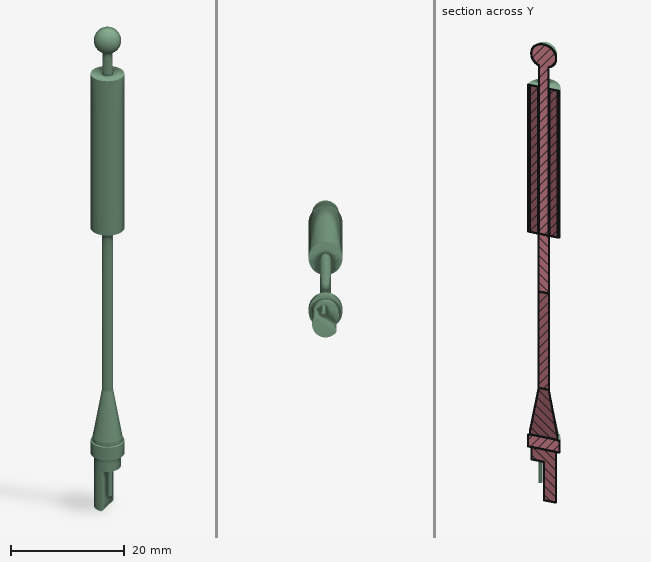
import cadquery as cq

TOTAL_HEIGHT = 94.4
PIN_BOTTOM = 2.8
PLUG_STEP = 7.9
COLLAR_BOTTOM = 10.5
COLLAR_TOP = 13.0
CONE_BASE = 13.8
CONE_TOP = 23.0
ROD_SEAM = 43.0
HANDLE_BOTTOM = 55.0
HANDLE_TOP = 85.5

HANDLE_DIAMETER = 5.95
CORE_DIAMETER = 5.1
CORE_BORE = 2.0
STEM_DIAMETER = 1.8
BALL_DIAMETER = 4.8
ROD_DIAMETER = 2.0
CONE_FOOT_DIAMETER = 5.3
COLLAR_DIAMETER = HANDLE_DIAMETER
PLUG_DIAMETER = 4.7
PIN_DIAMETER = 0.71

PIN_X = 1.0
PIN_Y = -1.1


def cylinder(diameter, bottom, top, x=0, y=0):
    """Upright cylinder between two heights."""
    return cq.Workplane("XY", origin=(x, y, bottom)).circle(diameter / 2).extrude(top - bottom)


def make_probe():
    """Ball on a stem that stands on the upper rod inside the handle."""
    ball_center = TOTAL_HEIGHT - BALL_DIAMETER / 2
    ball = cq.Workplane("XY", origin=(0, 0, ball_center)).sphere(BALL_DIAMETER / 2)
    return cylinder(STEM_DIAMETER, HANDLE_BOTTOM, ball_center).union(ball)


def make_handle():
    """Outer tube around the core."""
    bore = cylinder(CORE_DIAMETER, HANDLE_BOTTOM, HANDLE_TOP)
    return cylinder(HANDLE_DIAMETER, HANDLE_BOTTOM, HANDLE_TOP).cut(bore)


def make_core():
    """Liner of the handle, with a clearance bore for the stem."""
    bore = cylinder(CORE_BORE, HANDLE_BOTTOM, HANDLE_TOP)
    return cylinder(CORE_DIAMETER, HANDLE_BOTTOM, HANDLE_TOP).cut(bore)


def make_upper_rod():
    return cylinder(ROD_DIAMETER, ROD_SEAM, HANDLE_BOTTOM)


def make_cable():
    return cylinder(ROD_DIAMETER, CONE_TOP, ROD_SEAM)


def make_cone():
    """Strain relief: a short cylindrical foot that tapers to the cable diameter."""
    profile = [
        (0, COLLAR_TOP),
        (CONE_FOOT_DIAMETER / 2, COLLAR_TOP),
        (CONE_FOOT_DIAMETER / 2, CONE_BASE),
        (ROD_DIAMETER / 2, CONE_TOP),
        (0, CONE_TOP),
    ]
    return cq.Workplane("XZ").polyline(profile).close().revolve(360, (0, 0), (0, 1))


def make_collar():
    return cylinder(COLLAR_DIAMETER, COLLAR_BOTTOM, COLLAR_TOP)


def make_plug():
    """Round plug whose +X half is cut short."""
    relief = cq.Workplane("XY").box(
        PLUG_DIAMETER, PLUG_DIAMETER, PLUG_STEP, centered=(False, True, False)
    )
    return cylinder(PLUG_DIAMETER, 0, COLLAR_BOTTOM).cut(relief)


def make_pin():
    """Contact pin hanging below the step of the plug."""
    return cylinder(PIN_DIAMETER, PIN_BOTTOM, PLUG_STEP, PIN_X, PIN_Y)


probe = make_probe()
handle = make_handle()
core = make_core()
upper_rod = make_upper_rod()
cable = make_cable()
cone = make_cone()
collar = make_collar()
plug = make_plug()
pin = make_pin()

result = cq.Compound.makeCompound([
    probe.val(),
    handle.val(),
    core.val(),
    upper_rod.val(),
    cable.val(),
    cone.val(),
    collar.val(),
    plug.val(),
    pin.val(),
])